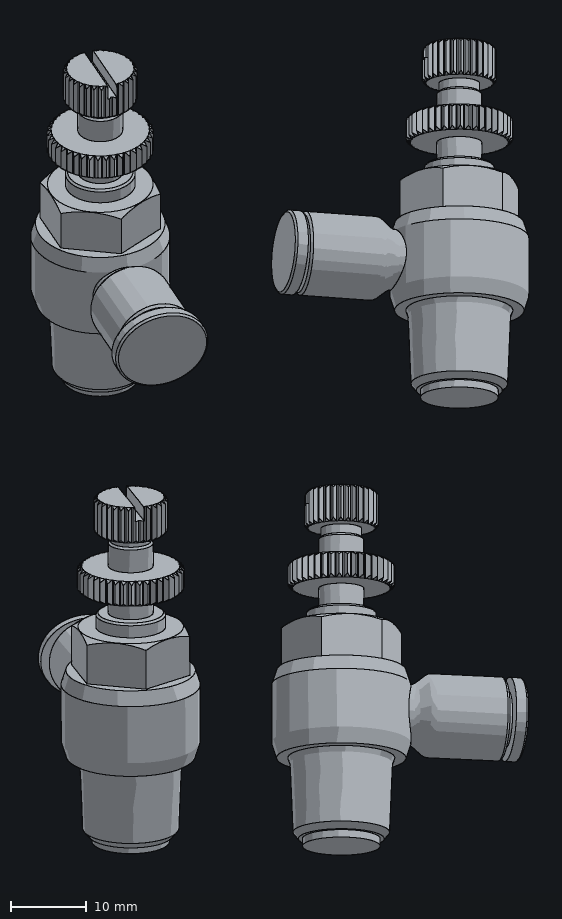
import cadquery as cq
import math


overall_length_x = 33.15

tip_r = 5.15
tip_top = 1.0
thread_lead_r = 5.65
thread_bottom_r = 6.4
thread_bottom = 1.85
thread_top_r = 6.75
thread_top = 11.2
relief_r = 7.05

body_diameter = 18.4
body_r = body_diameter / 2
body_end_r = 8.55
body_bottom = 11.95
body_top = 23.85
body_lower_bevel = 2.0
body_upper_bevel = 1.95

hex_flats = 14.0
hex_top = 29.9
hex_crown_r = 6.95
hex_crown_angle = 30

collar_r = 4.6
collar_top = 31.85
collar_chamfer = 0.3
stem_r = 3.0
stem_top = 41.85
neck_r = 2.7
stem_chamfer = stem_r - neck_r

nut_bottom = 34.95
nut_top = 38.4
nut_tip_r = 7.05
nut_root_r = 6.45
nut_root_flat = 0.15
nut_face_r = 6.5
nut_teeth = 40

head_bottom = 43.05
head_top = 48.0
head_tip_r = 4.9
head_root_r = 4.4
head_root_flat = 0.2
head_face_r = 4.45
head_teeth = 30
knurl_chamfer_height = 0.45
slot_width = 1.2
slot_depth = 1.85

port_z = 18.25
port_neck_r = 4.05
port_neck_end = 9.5
port_neck_fillet = 1.1
sleeve_r = 5.55
sleeve_start = 11.4
sleeve_end = 21.65
sleeve_chamfer = 0.35
sleeve_fillet = 1.2
collet_neck_r = 3.75
button_start = 22.25
button_end = overall_length_x - body_r
button_height = 11.05
button_width = 12.95
button_chamfer = 0.3


def turned(points):
    """Solid of revolution about Z from (radius, height) points, closed along the axis."""
    return cq.Workplane("XZ").polyline(points).close().revolve(360, (0, 0), (0, 1))


def disc(radius, bottom, top):
    return cq.Workplane("XY").workplane(offset=bottom).circle(radius).extrude(top - bottom)


def lower_end_and_body():
    return turned([
        (0, 0),
        (tip_r, 0),
        (tip_r, tip_top),
        (thread_lead_r, tip_top),
        (thread_bottom_r, thread_bottom),
        (thread_top_r, thread_top),
        (relief_r, body_bottom),
        (body_end_r, body_bottom),
        (body_r, body_bottom + body_lower_bevel),
        (body_r, body_top - body_upper_bevel),
        (body_end_r, body_top),
        (0, body_top),
    ])


def hexagon():
    """Hexagon with corners on the X axis and a conical crown on its upper face."""
    corner_r = hex_flats / 2 / math.cos(math.pi / 6)
    crown_drop = (corner_r - hex_crown_r) * math.tan(math.radians(hex_crown_angle))
    prism = (
        cq.Workplane("XY")
        .workplane(offset=body_top)
        .polygon(6, 2 * corner_r)
        .extrude(hex_top - body_top)
    )
    crown = turned([
        (0, body_top),
        (corner_r, body_top),
        (corner_r, hex_top - crown_drop),
        (hex_crown_r, hex_top),
        (0, hex_top),
    ])
    return prism.intersect(crown)


def collar_and_stem():
    collar = disc(collar_r, hex_top, collar_top).faces(">Z").chamfer(collar_chamfer)
    stem = disc(stem_r, collar_top, stem_top).faces(">Z").chamfer(stem_chamfer)
    neck = disc(neck_r, stem_top, head_bottom)
    return collar.union(stem).union(neck)


def polar_point(radius, angle):
    return (radius * math.cos(angle), radius * math.sin(angle))


def knurled_disc(bottom, top, tip_r, root_r, root_flat, face_r, teeth, first_tip):
    """Disc with sharp teeth between flat-bottomed grooves, chamfered to radius face_r at both ends."""
    pitch = 2 * math.pi / teeth
    root_half_angle = root_flat / (2 * root_r)
    outline = []
    for i in range(teeth):
        tip = first_tip + i * pitch
        root = tip + pitch / 2
        outline.append(polar_point(tip_r, tip))
        outline.append(polar_point(root_r, root - root_half_angle))
        outline.append(polar_point(root_r, root + root_half_angle))
    star = cq.Workplane("XY").workplane(offset=bottom).polyline(outline).close().extrude(top - bottom)
    envelope = turned([
        (0, bottom),
        (face_r, bottom),
        (tip_r, bottom + knurl_chamfer_height),
        (tip_r, top - knurl_chamfer_height),
        (face_r, top),
        (0, top),
    ])
    return star.intersect(envelope)


def locknut():
    first_tip = math.pi / nut_teeth
    return knurled_disc(
        nut_bottom, nut_top, nut_tip_r, nut_root_r, nut_root_flat, nut_face_r, nut_teeth, first_tip
    )


def slotted_head():
    first_tip = math.pi / 2
    head = knurled_disc(
        head_bottom, head_top, head_tip_r, head_root_r, head_root_flat, head_face_r, head_teeth, first_tip
    )
    slot = (
        cq.Workplane("XY")
        .workplane(offset=head_top - slot_depth)
        .rect(2 * head_tip_r, slot_width)
        .extrude(slot_depth)
    )
    return head.cut(slot)


def ring_at(x):
    """Selector for the circular edge of the port at the given X."""
    margin = 0.05
    return cq.selectors.BoxSelector(
        (x - margin, -sleeve_r, port_z - sleeve_r),
        (x + margin, sleeve_r, port_z + sleeve_r),
    )


def side_port():
    """Turned port along +X ending in an oval release button."""
    tube = (
        cq.Workplane("XZ", origin=(0, 0, port_z))
        .polyline([
            (0, 0),
            (0, port_neck_r),
            (port_neck_end, port_neck_r),
            (sleeve_start, sleeve_r),
            (sleeve_end - sleeve_chamfer, sleeve_r),
            (sleeve_end, sleeve_r - sleeve_chamfer),
            (sleeve_end, collet_neck_r),
            (button_start, collet_neck_r),
            (button_start, 0),
        ])
        .close()
        .revolve(360, (0, 0), (1, 0))
    )
    tube = tube.edges(ring_at(port_neck_end)).fillet(port_neck_fillet)
    tube = tube.edges(ring_at(sleeve_start)).fillet(sleeve_fillet)
    button = (
        cq.Workplane("YZ", origin=(button_start, 0, port_z))
        .ellipse(button_width / 2, button_height / 2)
        .extrude(button_end - button_start)
        .faces(">X")
        .chamfer(button_chamfer)
    )
    return tube.union(button)


result = lower_end_and_body()
for feature in (hexagon(), collar_and_stem(), locknut(), slotted_head(), side_port()):
    result = result.union(feature)